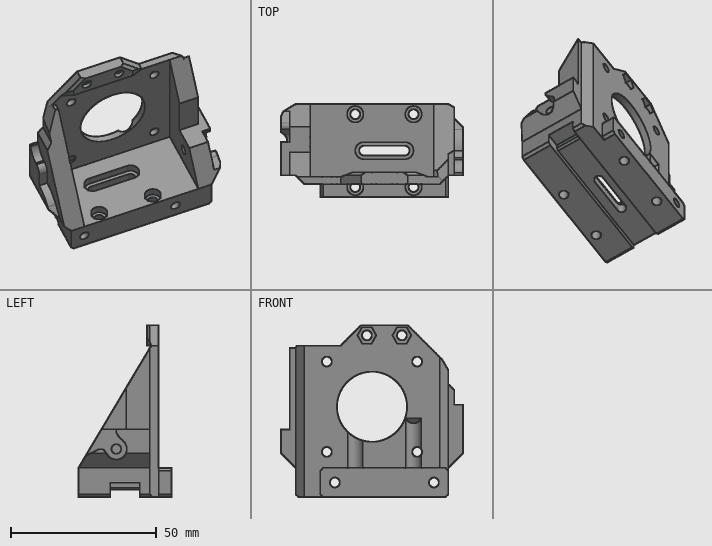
import cadquery as cq
import math

WIDTH = 62.5
DEPTH = 32.0
HEIGHT = 59.0

BODY_X0 = 5.0
BODY_X1 = WIDTH - BODY_X0
PLATE_Y0 = 4.5
PLATE_THICKNESS = 3.0
PLATE_Y1 = PLATE_Y0 + PLATE_THICKNESS
PANEL_RECESS = 0.5
PANEL_Y1 = PLATE_Y1 - PANEL_RECESS
PLATE_TOP = 52.0
PLATE_SIDE_CHAMFER = 3.0
PLATE_TOP_CORNER = 0.55
BASE_TOP = 10.0
CORNER_CHAMFER = 1.0
MID_Y = DEPTH / 2

FOOT_X0 = 13.5
FOOT_SCREW_INSET = 5.0
FOOT_SCREW_Z = 5.0

SLOPE_RATE = (PLATE_TOP - BASE_TOP) / (DEPTH - PANEL_Y1)

MOTOR_X = 31.25
MOTOR_Z = 31.0
MOTOR_WIDTH = 42.5
MOTOR_BORE = 24.0
MOTOR_HOLE_PITCH = 31.0
POCKET_X0 = MOTOR_X - MOTOR_WIDTH / 2
POCKET_X1 = MOTOR_X + MOTOR_WIDTH / 2

TAB_X = 35.5
TAB_TOP_WIDTH = 16.0
TAB_EXTRA_THICKNESS = 1.0
TAB_Y1 = PLATE_Y1 + TAB_EXTRA_THICKNESS
TAB_CHAMFER = 1.0
TAB_TAPER_LENGTH = 4.0
NUT_PITCH = 12.0
NUT_Z = 55.5
NUT_FLATS = 5.6
NUT_DEPTH = 2.5
NUT_TURN = 30

CORNER_CUT_Z = 43.5
CORNER_CUT_RATE_X = 1.4
CORNER_CUT_RATE_Y = 0.32
SHELF_INNER_Z = 48.0
SHELF_OUTER_X = 53.75
SHELF_OUTER_Z = 48.5

LEFT_WALL_X0 = 3.0
LEFT_WALL_Y1 = 15.5
LEFT_WING_TOP = 23.25
WING_EDGE_Z = BASE_TOP + BODY_X0
HINGE_Y = 19.0
HINGE_Z = 16.5
HINGE_RADIUS = 3.6
HUMP_Y = 24.4
HUMP_HALF_WIDTH = 1.1
HUMP_DROP = 0.4
RECESS_REAR_Z = 13.0
RECESS_NECK = 1.9
RECESS_LIP = 1.0

RIGHT_WALL_X1 = 59.5
RIGHT_WALL_EDGE_Z = 36.75
RIGHT_WING_TOP = 31.75

LEDGE_Y = 8.4
HOLLOW_MIDDLE = (10.1, 28.75)
HOLLOW_END = (12.8, 27.6)
NOSE_START = (13.55, 27.75)
NOSE_MIDDLE = (15.1, 26.95)
STEP_Y = 15.9
NOSE_END_Z = 25.0
TAIL_START_Z = 18.9
TAIL_MIDDLE = (19.9, 18.05)
TAIL_END_Y = 23.25
TAIL_END_Z = 15.8

SCREW_D = 3.3
HEAD_D = 5.6
MOUNT_X = (25.5, 45.5)
MOUNT_Y_PITCH = 25.0
MOUNT_SEAT_Z = 7.0
GROOVE_TOP = 27.1

SLOT_X = (MOUNT_X[0] + MOUNT_X[1]) / 2
SLOT_LENGTH = 17.25
SLOT_WIDTH = 3.25
SLOT_HEAD_LENGTH = 20.0
SLOT_HEAD_WIDTH = 5.9
CHANNEL_WIDTH = 10.0
CHANNEL_HEIGHT = 2.5
CHANNEL_END_HEIGHT = 5.0
CHANNEL_END_LENGTH = 5.0
CHANNEL_END_CHAMFER = 0.75


def box(x0, x1, y0, y1, z0, z1):
    return cq.Workplane("XY").box(x1 - x0, y1 - y0, z1 - z0, centered=False).translate((x0, y0, z0))


def prism_y(points, y0, y1):
    """Extrude an XZ outline from y0 to y1."""
    return cq.Workplane("XZ", origin=(0, y0, 0)).polyline(points).close().extrude(y0 - y1)


def prism_x(points, x0, x1):
    """Extrude a YZ outline from x0 to x1."""
    return cq.Workplane("YZ", origin=(x0, 0, 0)).polyline(points).close().extrude(x1 - x0)


def prism_z(points, z0, z1):
    """Extrude an XY outline from z0 to z1."""
    return cq.Workplane("XY", origin=(0, 0, z0)).polyline(points).close().extrude(z1 - z0)


def rod_y(x, z, diameter, y0, y1):
    return cq.Workplane("XZ", origin=(x, y0, z)).circle(diameter / 2).extrude(y0 - y1)


def rod_z(x, y, diameter, z0, z1):
    return cq.Workplane("XY", origin=(x, y, z0)).circle(diameter / 2).extrude(z1 - z0)


def slope_z(y):
    """Height of the sloped back at depth y."""
    return PLATE_TOP - SLOPE_RATE * (y - PANEL_Y1)


def below_slope(x0, x1, y0, y1):
    """Block under the sloped back, from the base top upward."""
    points = [(y0, BASE_TOP), (y1, BASE_TOP), (y1, slope_z(y1)), (y0, slope_z(y0))]
    if y1 >= DEPTH:
        points.pop(1)
    return prism_x(points, x0, x1)


def make_base():
    base = box(BODY_X0, BODY_X1, PLATE_Y1, DEPTH, 0, BASE_TOP)
    return base.edges("|Y and <Z").chamfer(CORNER_CHAMFER)


def make_foot():
    foot = box(FOOT_X0, BODY_X1, 0, PLATE_Y1, 0, BASE_TOP)
    return foot.edges("|Y").chamfer(CORNER_CHAMFER)


def tab_slope_x(side, z):
    """Edge of the tab at height z; side is -1 for left and 1 for right."""
    return TAB_X + side * (TAB_TOP_WIDTH / 2 + HEIGHT - z)


def make_plate():
    outline = [
        (BODY_X0 + CORNER_CHAMFER, 0),
        (BODY_X1 - CORNER_CHAMFER, 0),
        (BODY_X1, CORNER_CHAMFER),
        (BODY_X1, PLATE_TOP - (BODY_X1 - tab_slope_x(1, PLATE_TOP))),
        (tab_slope_x(1, PLATE_TOP), PLATE_TOP),
        (BODY_X0 + PLATE_TOP_CORNER, PLATE_TOP),
        (BODY_X0, PLATE_TOP - PLATE_TOP_CORNER),
        (BODY_X0, CORNER_CHAMFER),
    ]
    plate = prism_y(outline, PLATE_Y0, PLATE_Y1)
    chamfered_plan = [
        (BODY_X0 + PLATE_SIDE_CHAMFER, PLATE_Y0),
        (BODY_X1 - PLATE_SIDE_CHAMFER, PLATE_Y0),
        (BODY_X1, PLATE_Y0 + PLATE_SIDE_CHAMFER),
        (BODY_X0, PLATE_Y0 + PLATE_SIDE_CHAMFER),
    ]
    return plate.intersect(prism_z(chamfered_plan, 0, HEIGHT))


def make_tab():
    """Tab thicker than the plate, chamfered behind its slopes and tapered at its lower corners."""
    left, right = tab_slope_x(-1, PLATE_TOP), tab_slope_x(1, PLATE_TOP)
    outline = [
        (left, PLATE_TOP),
        (right, PLATE_TOP),
        (tab_slope_x(1, HEIGHT), HEIGHT),
        (tab_slope_x(-1, HEIGHT), HEIGHT),
    ]
    tab = prism_y(outline, PLATE_Y0, TAB_Y1)
    tab = tab.faces(">Y").edges("not |X").chamfer(TAB_CHAMFER)
    tapered_plan = [
        (left, PLATE_Y0),
        (right, PLATE_Y0),
        (right, PANEL_Y1),
        (right - TAB_TAPER_LENGTH, TAB_Y1),
        (left + TAB_TAPER_LENGTH, TAB_Y1),
        (left, PANEL_Y1),
    ]
    return tab.intersect(prism_z(tapered_plan, PLATE_TOP, HEIGHT))


def make_left_side():
    wall = below_slope(LEFT_WALL_X0, POCKET_X0, PLATE_Y1, LEFT_WALL_Y1)
    wall = wall.cut(box(0, BODY_X0, PLATE_Y1, DEPTH, 0, BASE_TOP + BODY_X0 - LEFT_WALL_X0))
    outline = [
        (POCKET_X0, BASE_TOP),
        (BODY_X0, BASE_TOP),
        (0, WING_EDGE_Z),
        (0, LEFT_WING_TOP),
        (POCKET_X0, LEFT_WING_TOP),
    ]
    wing = prism_y(outline, PLATE_Y1, DEPTH)
    wing = wing.intersect(below_slope(0, POCKET_X0, PLATE_Y1, DEPTH))
    wing = wing.cut(make_hinge_recess())
    hole = cq.Workplane("YZ", origin=(0, HINGE_Y, HINGE_Z)).circle(SCREW_D / 2).extrude(POCKET_X0)
    return wall.union(wing).cut(hole)


def make_hinge_recess():
    """Recess around the hinge screw, open to the top and back of the left wing."""
    diagonal = HINGE_RADIUS * math.sqrt(0.5)
    entry_y, entry_z = HINGE_Y + diagonal, HINGE_Z - diagonal
    exit_y, exit_z = HINGE_Y - diagonal, HINGE_Z + diagonal
    shoulder_z = HINGE_Z - HUMP_DROP
    profile = (
        cq.Workplane("YZ")
        .moveTo(DEPTH, RECESS_REAR_Z)
        .lineTo(HUMP_Y + HUMP_HALF_WIDTH, shoulder_z)
        .threePointArc((HUMP_Y, HINGE_Z), (HUMP_Y - HUMP_HALF_WIDTH, shoulder_z))
        .lineTo(entry_y, entry_z)
        .threePointArc((exit_y, entry_z), (exit_y, exit_z))
        .lineTo(exit_y + RECESS_NECK, exit_z + RECESS_NECK)
        .lineTo(HINGE_Y, LEFT_WING_TOP - RECESS_LIP)
        .lineTo(HINGE_Y, LEFT_WING_TOP)
        .lineTo(DEPTH, LEFT_WING_TOP)
        .close()
    )
    return profile.extrude(LEFT_WALL_X0)


def make_right_side():
    inner_top = RIGHT_WALL_EDGE_Z + RIGHT_WALL_X1 - BODY_X1
    wall = below_slope(POCKET_X1, BODY_X1, PLATE_Y1, DEPTH)
    slab_outline = [
        (BODY_X1, BASE_TOP),
        (RIGHT_WALL_X1, BASE_TOP + RIGHT_WALL_X1 - BODY_X1),
        (RIGHT_WALL_X1, RIGHT_WALL_EDGE_Z),
        (BODY_X1, inner_top),
    ]
    slab = prism_y(slab_outline, PLATE_Y1, DEPTH)
    slab = slab.intersect(below_slope(BODY_X1, RIGHT_WALL_X1, PLATE_Y1, DEPTH))
    return wall.union(slab).union(make_right_wing())


def cut_right_corner(part):
    """Trim the upper right corner with an oblique plane and lower the inner edge of the wall top."""
    normal = (CORNER_CUT_RATE_X, CORNER_CUT_RATE_Y, 1)
    oblique = cq.Workplane(cq.Plane(origin=(BODY_X1, PLATE_Y1, CORNER_CUT_Z), normal=normal))
    part = part.cut(oblique.rect(WIDTH, WIDTH).extrude(HEIGHT))
    shelf_outline = [
        (POCKET_X1, SHELF_INNER_Z),
        (SHELF_OUTER_X, SHELF_OUTER_Z),
        (SHELF_OUTER_X, PLATE_TOP),
        (POCKET_X1, PLATE_TOP),
    ]
    return part.cut(prism_y(shelf_outline, PANEL_Y1, MID_Y))


def make_right_wing():
    """Lug whose top steps down toward the back and ends in a 45 degree fall."""
    profile = (
        cq.Workplane("YZ", origin=(BODY_X1, 0, 0))
        .moveTo(PLATE_Y1, BASE_TOP)
        .lineTo(PLATE_Y1, RIGHT_WING_TOP)
        .lineTo(LEDGE_Y, RIGHT_WING_TOP)
        .threePointArc(HOLLOW_MIDDLE, HOLLOW_END)
        .lineTo(*NOSE_START)
        .threePointArc(NOSE_MIDDLE, (STEP_Y, NOSE_END_Z))
        .lineTo(STEP_Y, TAIL_START_Z)
        .threePointArc(TAIL_MIDDLE, (TAIL_END_Y, TAIL_END_Z))
        .lineTo(TAIL_END_Y + TAIL_END_Z - BASE_TOP, BASE_TOP)
        .close()
    )
    outline = [
        (BODY_X1, BASE_TOP),
        (WIDTH, WING_EDGE_Z),
        (WIDTH, RIGHT_WING_TOP),
        (BODY_X1, RIGHT_WING_TOP),
    ]
    return profile.extrude(WIDTH - BODY_X1).intersect(prism_y(outline, PLATE_Y1, DEPTH))


def cut_panel_back(part):
    """Thin the plate between the walls and carry the sloped back through its upper edge."""
    part = part.cut(box(POCKET_X0, POCKET_X1, PANEL_Y1, PLATE_Y1, BASE_TOP, PLATE_TOP))
    edge_outline = [(PANEL_Y1, PLATE_TOP), (PLATE_Y1, PLATE_TOP), (PLATE_Y1, slope_z(PLATE_Y1))]
    return part.cut(prism_x(edge_outline, 0, WIDTH))


def cut_motor_mount(part):
    part = part.cut(rod_y(MOTOR_X, MOTOR_Z, MOTOR_BORE, 0, DEPTH))
    for side_x in (-1, 1):
        for side_z in (-1, 1):
            x = MOTOR_X + side_x * MOTOR_HOLE_PITCH / 2
            z = MOTOR_Z + side_z * MOTOR_HOLE_PITCH / 2
            part = part.cut(rod_y(x, z, SCREW_D, 0, DEPTH))
    return part


def cut_tab_nuts(part):
    for side in (-1, 1):
        x = TAB_X + side * NUT_PITCH / 2
        nut = cq.Workplane("XZ", origin=(x, PLATE_Y0, NUT_Z))
        nut = nut.polygon(6, NUT_FLATS, circumscribed=True).extrude(-NUT_DEPTH)
        nut = nut.rotate((x, 0, NUT_Z), (x, 1, NUT_Z), NUT_TURN)
        part = part.cut(nut).cut(rod_y(x, NUT_Z, SCREW_D, 0, DEPTH))
    return part


def cut_base_mounts(part):
    """Screw holes with head clearance; the front pair grooves the plate under a 45 degree ceiling."""
    ceiling_outline = [
        (PLATE_Y0, GROOVE_TOP),
        (PLATE_Y1, GROOVE_TOP),
        (PLATE_Y1, GROOVE_TOP - PLATE_THICKNESS),
    ]
    ceiling = prism_x(ceiling_outline, 0, WIDTH)
    for x in MOUNT_X:
        for side in (-1, 1):
            y = MID_Y + side * MOUNT_Y_PITCH / 2
            part = part.cut(rod_z(x, y, SCREW_D, 0, BASE_TOP))
            part = part.cut(rod_z(x, y, HEAD_D, MOUNT_SEAT_Z, GROOVE_TOP).cut(ceiling))
    return part


def cut_foot_screws(part):
    for x in (FOOT_X0 + FOOT_SCREW_INSET, BODY_X1 - FOOT_SCREW_INSET):
        part = part.cut(rod_y(x, FOOT_SCREW_Z, SCREW_D, 0, DEPTH))
    return part


def cut_base_slots(part):
    slot = cq.Workplane("XY", origin=(SLOT_X, MID_Y, 0)).slot2D(SLOT_LENGTH, SLOT_WIDTH).extrude(BASE_TOP)
    head = cq.Workplane("XY", origin=(SLOT_X, MID_Y, MOUNT_SEAT_Z))
    head = head.slot2D(SLOT_HEAD_LENGTH, SLOT_HEAD_WIDTH).extrude(BASE_TOP - MOUNT_SEAT_Z)
    end_x = BODY_X0 + CHANNEL_END_LENGTH
    channel_outline = [
        (BODY_X0, 0),
        (BODY_X1, 0),
        (BODY_X1, CHANNEL_HEIGHT),
        (end_x + CHANNEL_END_CHAMFER, CHANNEL_HEIGHT),
        (end_x, CHANNEL_HEIGHT + CHANNEL_END_CHAMFER),
        (end_x, CHANNEL_END_HEIGHT),
        (BODY_X0, CHANNEL_END_HEIGHT),
    ]
    channel = prism_y(channel_outline, MID_Y - CHANNEL_WIDTH / 2, MID_Y + CHANNEL_WIDTH / 2)
    return part.cut(slot).cut(head).cut(channel)


body = make_base().union(make_foot()).union(make_plate())
body = body.union(make_left_side()).union(make_right_side())
body = cut_panel_back(body)
body = cut_right_corner(body)
body = body.union(make_tab())
body = cut_motor_mount(body)
body = cut_tab_nuts(body)
body = cut_base_mounts(body)
body = cut_foot_screws(body)
body = cut_base_slots(body)
result = body